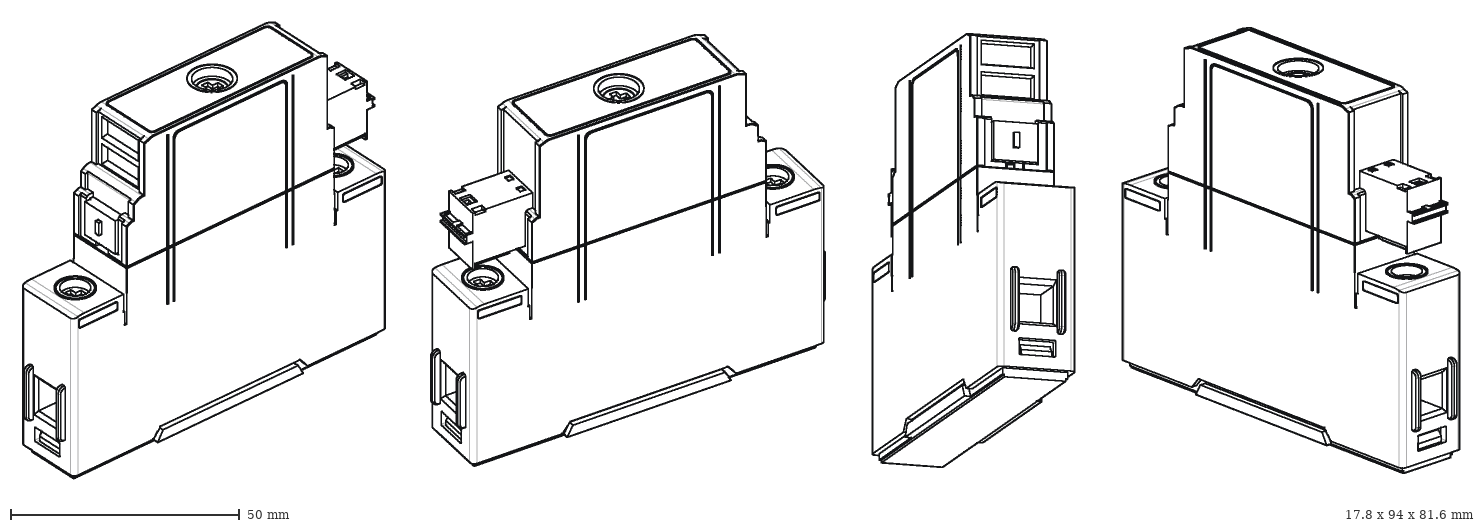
import cadquery as cq
import math

width = 17.8
half_width = width / 2

base_half_length = 45.25
base_bottom = 2.0
base_top = 43.75
base_crown_start = 42.15
base_crown_length = 1.85
base_crown_drop = 0.2
base_shoulder_drop = 0.65
base_corner_radius = 1.2

foot_half_length = 43.65
foot_half_width = 7.5
foot_step = 0.6
sole_half_width = 7.05
clip_top = 3.3
clip_half_length_bottom = 21.0
clip_half_length_top = 19.5
clip_clearance = 1.25

tower_top = 81.6
tower_half_length = 30.0
tower_foot = 35.5
seam_height = 50.25
tower_edge_chamfer = 0.15
front_face = -24.9
front_mid_face = -28.0
back_face = 28.05
panel_half_width = 7.2
panel_recess = 0.6

lower_step = 61.8
upper_step = 67.1
crown_start = -22.1
crown_break = -23.5
crown_drop = 0.4
crown_face_drop = 0.9
upper_shelf_start = -25.35
upper_shelf_break = -27.3
upper_shelf_drop = 0.75
upper_shelf_face_drop = 1.2
lower_shelf_start = -28.3
lower_shelf_break = -29.1
lower_shelf_drop = 0.25
lower_shelf_face_drop = 0.75
back_crown_start = 25.4
back_crown_break = 26.8
back_shelf_start = 28.4
back_shelf_break = 29.1

gap_width = 0.5
gap_mouth_width = 0.9
gap_mouth_depth = 4.75

seam_width = 0.3
seam_depth = 0.2
outer_seam_offset = 18.05
outer_seam_top = 79.9
inner_seam_offset = 16.25
inner_seam_top = 79.65
inner_seam_radius = 1.6
seam_bottom = 35.65

grip_inner = 32.55
grip_outer = 43.7
grip_bottom = 40.3
grip_top = 42.5
grip_radius = 0.4

label_front = -22.0
label_back = 25.3
label_half_width = 7.95
label_radius = 1.3
label_groove = 0.3

cross_half_length = 2.42
cross_half_width = 0.85
cross_depth = 1.0
knob_center = 2.34
knob_ring_radius = 5.5
knob_hole_radius = 4.5
knob_depth = 2.5
knob_head_radius = 3.5
terminal_center = 37.15
terminal_ring_radius = 4.6
terminal_ring_width = 0.35
terminal_hole_radius = 3.4
terminal_depth = 2.2
head_dish = 0.2
ring_depth = 0.2

window_half_width = 6.1
window_floor_half_width = 5.8
window_depth = 1.5
window_heights = ((74.4, 79.9), (67.5, 72.8))
window_sill = 0.5
window_lintel = 0.4

button_half_width = 5.05
button_gap = 0.3
button_top = 60.65
button_bottom = 51.95
button_gap_depth = 1.0
button_face = -tower_half_length
mark_half_width = 0.6
mark_bottom = 54.9
mark_top = 58.2
mark_height = 0.85
notch_half_width = 2.1
notch_depth = 1.0
notch_hole_left = -1.5
notch_hole_right = 0.3
notch_hole_depth = 2.0

bar_reach = 47.0
bar_center = 5.35
bar_width = 1.5
bar_bottom = 10.05
bar_top = 24.35
bar_radius = 1.4
bar_edge_chamfer = 0.4
entry_half_width = 4.4
entry_bottom = 11.75
entry_top = 22.2
entry_floor_half_width = 4.0
entry_floor_bottom = 12.5
entry_floor_top = 21.0
entry_flare_depth = 1.0
entry_depth = 10.0
latch_half_width = 4.2
latch_bottom = 4.9
latch_top = 8.6
latch_radius = 0.3
latch_depth = 1.8
wedge_half_width = 3.5
wedge_tip = 6.2
wedge_root = 7.5
wedge_height = 1.0

plug_half_width = 5.05
plug_end = 42.75
plug_root = 27.0
plug_bottom = 52.3
plug_top = 65.8
skirt_half_width = 4.5
skirt_step = 51.4
skirt_lower_half_width = 3.5
skirt_bottom = 50.7
skirt_inner = 33.0
skirt_wall = 0.5
latch_bar_bottom = 58.3
latch_bar_top = 60.6
latch_bar_end = 44.3
latch_lip_end = 44.9
latch_lip_height = 0.4
bar_pocket_inner = 0.7
bar_pocket_outer = 4.45
bar_pocket_depth = 0.4
plug_pocket_front = 39.5
plug_pocket_back = 42.1
plug_pocket_depth = 0.65
plug_hole_depth = 1.5
center_pocket_half_width = 1.5
center_hole_half_width = 0.75
center_hole_front = 40.35
side_pocket_inner = 3.4
side_hole_outer = 4.1
dimple_inner = 1.6
dimple_outer = 3.25
dimple_front = 28.2
dimple_back = 29.55
dimple_depth = 0.3


def block(x_range, y_range, z_range):
    """Axis-aligned box between the given limits."""
    size = [high - low for low, high in (x_range, y_range, z_range)]
    corner = (x_range[0], y_range[0], z_range[0])
    return cq.Workplane("XY").box(*size, centered=False).translate(corner)


def side_prism(outline, half):
    """Extrude a closed Y-Z outline symmetrically about X = 0."""
    return outline.close().extrude(half, both=True)


def crown_middle(start, end):
    """Middle point of an arc that is horizontal at start and drops to end."""
    run = end[0] - start[0]
    drop = start[1] - end[1]
    radius = (run**2 + drop**2) / (2 * drop)
    half_angle = math.atan2(abs(run), radius - drop) / 2
    return (
        start[0] + math.copysign(radius * math.sin(half_angle), run),
        start[1] - radius * (1 - math.cos(half_angle)),
    )


def mirrored_y(feature):
    """A feature together with its mirror image across the X-Z plane."""
    return feature.union(feature.mirror("XZ"))


def mirrored_x(feature):
    """A feature together with its mirror image across the Y-Z plane."""
    return feature.union(feature.mirror("YZ"))


def base():
    crown_z = base_top - base_crown_drop
    shoulder = base_top - base_shoulder_drop
    crown_end = base_crown_start + base_crown_length
    front_start = (-base_crown_start, base_top)
    front_break = (-crown_end, crown_z)
    back_start = (base_crown_start, base_top)
    back_break = (crown_end, crown_z)
    outline = (
        cq.Workplane("YZ")
        .moveTo(-base_half_length, base_bottom)
        .lineTo(-base_half_length, shoulder)
        .lineTo(*front_break)
        .threePointArc(crown_middle(front_start, front_break), front_start)
        .lineTo(*back_start)
        .threePointArc(crown_middle(back_start, back_break), back_break)
        .lineTo(base_half_length, shoulder)
        .lineTo(base_half_length, base_bottom)
    )
    plan = (
        cq.Workplane("XY")
        .rect(width, 2 * base_half_length)
        .extrude(tower_top)
        .edges("|Z")
        .fillet(base_corner_radius)
    )
    return side_prism(outline, half_width).intersect(plan)


def climb_shelf(outline, start, break_y, level, drop, face_y, face_drop):
    """Continue an outline from a face up over the shelf edge to the shelf's level part."""
    shelf_start = (start, level)
    shelf_break = (break_y, level - drop)
    return (
        outline.lineTo(face_y, level - face_drop)
        .lineTo(*shelf_break)
        .threePointArc(crown_middle(shelf_start, shelf_break), shelf_start)
    )


def descend_shelf(outline, start, break_y, level, drop, face_y, face_drop):
    """Continue an outline from a shelf's level part down over its edge to the face."""
    shelf_start = (start, level)
    shelf_break = (break_y, level - drop)
    return (
        outline.lineTo(*shelf_start)
        .threePointArc(crown_middle(shelf_start, shelf_break), shelf_break)
        .lineTo(face_y, level - face_drop)
    )


def tower(inset):
    """Stepped tower with its front and back faces moved inward by inset."""
    front = front_face + inset
    front_mid = front_mid_face + inset
    back = back_face - inset
    foot = tower_half_length - inset

    outline = cq.Workplane("YZ").moveTo(-foot, tower_foot)
    outline = climb_shelf(
        outline,
        lower_shelf_start,
        lower_shelf_break,
        lower_step,
        lower_shelf_drop,
        -foot,
        lower_shelf_face_drop,
    )
    outline = outline.lineTo(front_mid, lower_step)
    outline = climb_shelf(
        outline,
        upper_shelf_start,
        upper_shelf_break,
        upper_step,
        upper_shelf_drop,
        front_mid,
        upper_shelf_face_drop,
    )
    outline = outline.lineTo(front, upper_step)
    outline = climb_shelf(
        outline, crown_start, crown_break, tower_top, crown_drop, front, crown_face_drop
    )
    outline = descend_shelf(
        outline, back_crown_start, back_crown_break, tower_top, crown_drop, back, crown_face_drop
    )
    outline = outline.lineTo(back, lower_step)
    outline = descend_shelf(
        outline,
        back_shelf_start,
        back_shelf_break,
        lower_step,
        lower_shelf_drop,
        foot,
        lower_shelf_face_drop,
    )
    return side_prism(outline.lineTo(foot, tower_foot), half_width)


def panel_recesses():
    """Recess between the side rails on the front and back of the tower."""
    panel_band = block(
        (-panel_half_width, panel_half_width),
        (-base_half_length, base_half_length),
        (seam_height, tower_top),
    )
    return tower(0).cut(tower(panel_recess)).intersect(panel_band)


def tower_gaps():
    """Narrow gaps that part the tower from the base shoulders."""
    mouth_bottom = base_top - gap_mouth_depth
    outline = (
        cq.Workplane("YZ")
        .moveTo(tower_half_length, tower_foot)
        .lineTo(tower_half_length + gap_width, tower_foot)
        .lineTo(tower_half_length + gap_width, mouth_bottom)
        .lineTo(tower_half_length + gap_mouth_width, mouth_bottom)
        .lineTo(tower_half_length + gap_mouth_width, base_top)
        .lineTo(tower_half_length, base_top)
    )
    return mirrored_y(side_prism(outline, half_width))


def clip_prism(growth, bottom, half):
    """Trapezoid of the rail clip, enlarged by growth along its slopes."""
    outline = (
        cq.Workplane("YZ")
        .moveTo(-clip_half_length_bottom - growth, bottom)
        .lineTo(-clip_half_length_top - growth / 2, clip_top + growth)
        .lineTo(clip_half_length_top + growth / 2, clip_top + growth)
        .lineTo(clip_half_length_bottom + growth, bottom)
    )
    return side_prism(outline, half)


def add_foot(body):
    """Foot plate under the base with the rail clip set in a side notch."""
    notch = clip_prism(clip_clearance, base_bottom, half_width)
    core = block(
        (-foot_half_width, foot_half_width),
        (-base_half_length, base_half_length),
        (0, base_top),
    )
    foot_y = (-foot_half_length, foot_half_length)
    plate = block((-foot_half_width, foot_half_width), foot_y, (foot_step, base_bottom))
    sole = block((-sole_half_width, sole_half_width), foot_y, (0, foot_step))
    clip = clip_prism(0, foot_step, half_width)
    return body.cut(notch.cut(core)).union(plate).union(sole).union(clip)


def seam_bar(y_center, z_range):
    y_range = (y_center - seam_width / 2, y_center + seam_width / 2)
    return block((half_width - seam_depth, half_width), y_range, z_range)


def side_seams():
    """Shallow parting lines on both side faces and around the tower at mid height."""
    half = seam_width / 2
    seam_z = (seam_height - half, seam_height + half)
    around = block((-half_width, half_width), (-tower_half_length, tower_half_length), seam_z)
    reach_x = half_width - seam_depth
    reach_y = tower_half_length - seam_depth
    around = around.cut(block((-reach_x, reach_x), (-reach_y, reach_y), seam_z))
    outer_seam = seam_bar(outer_seam_offset, (seam_bottom, outer_seam_top))

    def arch(offset):
        reach = inner_seam_offset + offset
        x_range = (half_width - seam_depth, half_width)
        plate = block(x_range, (-reach, reach), (seam_bottom, inner_seam_top + offset))
        return plate.edges("|X and >Z").fillet(inner_seam_radius)

    return mirrored_x(mirrored_y(outer_seam).union(arch(half).cut(arch(-half)))).union(around)


def side_grips():
    grip = block(
        (half_width - seam_depth, half_width),
        (grip_inner, grip_outer),
        (grip_bottom, grip_top),
    )
    return mirrored_x(mirrored_y(grip.edges("|X").fillet(grip_radius)))


def label_frame():
    """Groove around the label panel on the tower top."""

    def panel(inset):
        half = label_half_width - inset
        plate = block(
            (-half, half),
            (label_front + inset, label_back - inset),
            (tower_top - label_groove, tower_top),
        )
        return plate.edges("|Z").fillet(label_radius - inset)

    return panel(0).cut(panel(label_groove))


def disc(y, radius, top, depth):
    """Round cut of the given depth below a top face."""
    return cq.Workplane("XY", origin=(0, y, top - depth)).circle(radius).extrude(depth)


def cross_slot(y, top):
    """Cross-shaped driver slot below a screw head."""
    length = 2 * cross_half_length
    thickness = 2 * cross_half_width
    plane = cq.Workplane("XY", origin=(0, y, top - cross_depth))
    arm = plane.rect(length, thickness).extrude(cross_depth)
    return arm.union(plane.rect(thickness, length).extrude(cross_depth))


def knob_recess():
    """Stepped round hole in the tower top with the knob's driver slot."""
    floor = tower_top - knob_depth
    recess = disc(knob_center, knob_ring_radius, tower_top, ring_depth)
    recess = recess.union(disc(knob_center, knob_hole_radius, tower_top, knob_depth))
    recess = recess.union(disc(knob_center, knob_head_radius, floor, head_dish))
    return recess.union(cross_slot(knob_center, floor - head_dish))


def terminal_recesses():
    """Ringed screw holes in both base shoulders."""
    ring_inner_radius = terminal_ring_radius - terminal_ring_width
    ring = disc(terminal_center, terminal_ring_radius, base_top, ring_depth)
    ring = ring.cut(disc(terminal_center, ring_inner_radius, base_top, ring_depth))
    recess = ring.union(disc(terminal_center, terminal_hole_radius, base_top, terminal_depth))
    return mirrored_y(recess.union(cross_slot(terminal_center, base_top - terminal_depth)))


def tapered_pocket(face_y, outer, inner, depth):
    """Pocket into a front face, tapering from the outer to the inner rectangle.

    Each rectangle is (half width, bottom, top).
    """

    def rectangle(plane, sizes):
        half, bottom, top = sizes
        return plane.center(0, (bottom + top) / 2).rect(2 * half, top - bottom)

    mouth = rectangle(cq.Workplane("XZ", origin=(0, face_y, 0)), outer)
    floor_plane = mouth.workplane(offset=-depth, origin=(0, face_y + depth, 0))
    return rectangle(floor_plane, inner).loft(combine=True)


def indicator_windows():
    face = front_face + panel_recess
    windows = cq.Workplane("XY")
    for bottom, top in window_heights:
        outer = (window_half_width, bottom, top)
        inner = (window_floor_half_width, bottom + window_sill, top - window_lintel)
        windows = windows.union(tapered_pocket(face, outer, inner, window_depth))
    return windows


def button_cut():
    """Space above and around the front button, with the notch below it."""
    panel_face = -tower_half_length + panel_recess
    outer_half = button_half_width + button_gap
    gap_bottom = button_bottom - button_gap
    above = block(
        (-outer_half, outer_half),
        (-tower_half_length, front_mid_face + panel_recess),
        (button_top, lower_step),
    )
    pocket = block(
        (-outer_half, outer_half),
        (panel_face, panel_face + button_gap_depth),
        (gap_bottom, button_top),
    )
    notch = block(
        (-notch_half_width, notch_half_width),
        (panel_face, panel_face + notch_depth),
        (seam_height, gap_bottom),
    )
    notch_hole = block(
        (notch_hole_left, notch_hole_right),
        (panel_face, panel_face + notch_hole_depth),
        (seam_height, gap_bottom),
    )
    return above.union(pocket).union(notch).union(notch_hole)


def button():
    cap = block(
        (-button_half_width, button_half_width),
        (button_face, front_mid_face + panel_recess),
        (button_bottom, button_top),
    )
    mark = block(
        (-mark_half_width, mark_half_width),
        (button_face - mark_height, button_face),
        (mark_bottom, mark_top),
    )
    return cap.union(mark)


def guide_bars():
    """Pairs of rounded bars beside the wire entries."""
    bar = block(
        (bar_center - bar_width / 2, bar_center + bar_width / 2),
        (-bar_reach, -base_half_length + base_corner_radius),
        (bar_bottom, bar_top),
    )
    bar = bar.edges("|X and <Y").fillet(bar_radius)
    bar = bar.faces("<Y").edges("|Z").chamfer(bar_edge_chamfer)
    return mirrored_y(mirrored_x(bar))


def latch_pocket():
    """Shallow pocket under the wire entry with a wedge rising from its back wall."""
    floor_y = -base_half_length + latch_depth
    pocket = block(
        (-latch_half_width, latch_half_width),
        (-base_half_length, floor_y),
        (latch_bottom, latch_top),
    )
    wedge_outline = (
        cq.Workplane("YZ")
        .moveTo(floor_y, wedge_root)
        .lineTo(floor_y - wedge_height, wedge_tip)
        .lineTo(floor_y - wedge_height, latch_bottom)
        .lineTo(floor_y, latch_bottom)
    )
    return pocket.edges("|Y").fillet(latch_radius).cut(side_prism(wedge_outline, wedge_half_width))


def end_openings():
    """Wire entry and latch pocket in both ends of the base."""
    face = -base_half_length
    mouth = (entry_half_width, entry_bottom, entry_top)
    throat = (entry_floor_half_width, entry_floor_bottom, entry_floor_top)
    entry = tapered_pocket(face, mouth, throat, entry_flare_depth)
    bore = block(
        (-entry_floor_half_width, entry_floor_half_width),
        (face + entry_flare_depth, face + entry_depth),
        (entry_floor_bottom, entry_floor_top),
    )
    return mirrored_y(entry.union(bore).union(latch_pocket()))


def plug():
    plug_x = (-plug_half_width, plug_half_width)
    housing = block(plug_x, (plug_root, plug_end), (plug_bottom, plug_top))
    skirt = block(
        (-skirt_half_width, skirt_half_width),
        (skirt_inner, plug_end),
        (skirt_step, plug_bottom),
    )
    lower_skirt = block(
        (-skirt_lower_half_width, skirt_lower_half_width),
        (skirt_inner, plug_end),
        (skirt_bottom, skirt_step),
    )
    end_wall = block(plug_x, (plug_end - skirt_wall, plug_end), (skirt_bottom, plug_bottom))
    latch_bar = block(plug_x, (plug_end, latch_bar_end), (latch_bar_bottom, latch_bar_top))
    lip_y = (latch_bar_end, latch_lip_end)
    lower_lip = block(plug_x, lip_y, (latch_bar_bottom, latch_bar_bottom + latch_lip_height))
    upper_lip = block(plug_x, lip_y, (latch_bar_top - latch_lip_height, latch_bar_top))
    body = housing.union(skirt).union(lower_skirt).union(end_wall).union(latch_bar)
    return body.union(lower_lip).union(upper_lip)


def plug_pockets():
    """Pockets, test holes and dimples in the top of the plug and its latch bar."""
    pocket_y = (plug_pocket_front, plug_pocket_back)
    pocket_z = (plug_top - plug_pocket_depth, plug_top)
    hole_z = (plug_top - plug_hole_depth, plug_top)
    center = block((-center_pocket_half_width, center_pocket_half_width), pocket_y, pocket_z)
    center_hole = block(
        (-center_hole_half_width, center_hole_half_width),
        (center_hole_front, plug_pocket_back),
        hole_z,
    )
    side = block((side_pocket_inner, plug_half_width), pocket_y, pocket_z)
    side_hole = block((side_pocket_inner, side_hole_outer), pocket_y, hole_z)
    dimple = block(
        (dimple_inner, dimple_outer),
        (dimple_front, dimple_back),
        (plug_top - dimple_depth, plug_top),
    )
    bar_pocket = block(
        (bar_pocket_inner, bar_pocket_outer),
        (plug_end, latch_bar_end),
        (latch_bar_top - bar_pocket_depth, latch_bar_top),
    )
    paired = mirrored_x(side.union(side_hole).union(dimple).union(bar_pocket))
    return paired.union(center).union(center_hole)


tower_shell = tower(0).faces("<X or >X").edges().chamfer(tower_edge_chamfer)
body = base().union(tower_shell).cut(panel_recesses()).cut(tower_gaps())
body = add_foot(body)
body = body.cut(side_seams()).cut(side_grips()).cut(label_frame())
body = body.cut(knob_recess()).cut(terminal_recesses())
body = body.cut(indicator_windows())
body = body.cut(button_cut()).union(button())
body = body.union(guide_bars()).cut(end_openings())
result = body.union(plug().cut(plug_pockets()))